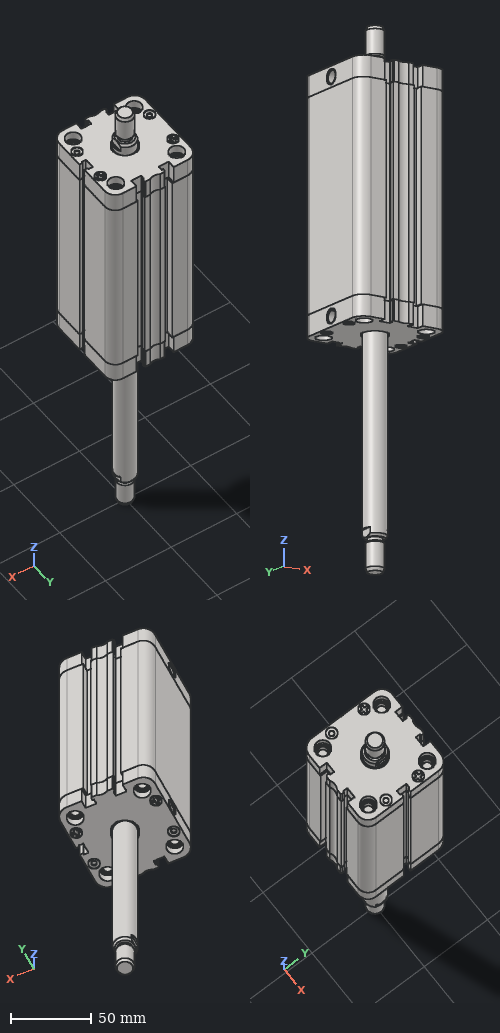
import cadquery as cq

side = 65.5
housing_length = 170.0
cap_height = 14.2
corner_radius = 8.0
half_side = side / 2

slot_inner_edge = 7.8
slot_opening = 5.5
slot_undercut = 1.0
slot_depth = 5.7
slot_lip = 2.5
cap_slot_clearance = 1.0
cap_lip_chamfer = 0.7

groove_width = 7.5
groove_depth = 1.0

bolt_spacing = 46.5
bolt_head_diameter = 10.5
bolt_head_depth = 6.5
bolt_step_diameter = 8.5
bolt_step_depth = 7.8
bolt_hole_diameter = 6.7
set_screw_x = 27.7
set_screw_y = 12.8
set_screw_diameter = 7.5
set_screw_recess = 0.7
cross_length = 5.5
cross_width = 1.8
socket_diameter = 3.5
socket_depth = 1.0
port_mouth_diameter = 10.0
port_mouth_depth = 0.7
port_diameter = 8.5
port_depth = 8.5
port_passage_diameter = 3.5
port_passage_offset = 3.0
port_passage_depth = 3.5
wiper_diameter = 18.0
wiper_depth = 1.0

rod_length = 355.0
rod_below_housing = 154.8
rod_diameter = 16.0
thread_diameter = 12.0
neck_diameter = 10.0
thread_end = 18.8
shoulder = 22.0
flat_end = 27.7
flat_width = 13.0
tip_chamfer_width = 1.0
tip_chamfer_length = 2.5
neck_taper = 1.0
shoulder_chamfer_width = 1.5
shoulder_chamfer_length = 1.8


def box_between(x_range, y_range, z_range):
    """Box spanning the given ranges of X, Y and Z."""
    (x0, x1), (y0, y1), (z0, z1) = x_range, y_range, z_range
    return cq.Workplane("XY").box(x1 - x0, y1 - y0, z1 - z0, centered=False).translate((x0, y0, z0))


def turned(body, angle):
    """Copy of a body turned about the housing axis."""
    return body.rotate((0, 0, 0), (0, 0, 1), angle)


def hooked_slot_cutter(outer_clearance, lip_chamfer):
    """Slot in the +Y face on the +X side, undercut toward the middle of the face."""
    inner_x = slot_inner_edge
    outer_x = slot_inner_edge + slot_opening + outer_clearance
    floor_y = half_side - slot_depth
    lip_y = half_side - slot_lip
    outline = [
        (outer_x, half_side),
        (outer_x, floor_y),
        (inner_x - slot_undercut, floor_y),
        (inner_x - slot_undercut, lip_y),
        (inner_x, lip_y),
        (inner_x, half_side - lip_chamfer),
        (inner_x - lip_chamfer, half_side),
    ]
    if lip_chamfer == 0:
        outline.pop()
    return cq.Workplane("XY").polyline(outline).close().extrude(housing_length)


def t_slot_cutter():
    """T-slot along the middle of the +X face."""
    height_range = (0, housing_length)
    half_opening = slot_opening / 2
    half_pocket = half_opening + slot_undercut
    opening = box_between((half_side - slot_lip, half_side), (-half_opening, half_opening), height_range)
    pocket_range = (half_side - slot_depth, half_side - slot_lip)
    return opening.union(box_between(pocket_range, (-half_pocket, half_pocket), height_range))


def groove_cutter():
    """Round groove along the middle of the +Y face."""
    half_width = groove_width / 2
    radius = (half_width**2 + groove_depth**2) / (2 * groove_depth)
    middle = half_side - groove_depth + radius
    return cq.Workplane("XY").center(0, middle).circle(radius).extrude(housing_length)


def housing_slice(bottom, height, outer_clearance=0.0, lip_chamfer=0.0):
    """Length of the housing profile, with the bore that the rod fills."""
    block = cq.Workplane("XY").workplane(offset=bottom).rect(side, side).extrude(height)
    block = block.edges("|Z").fillet(corner_radius)
    slot = hooked_slot_cutter(outer_clearance, lip_chamfer)
    for face_angle in (0, 180):
        for cutter in (slot, slot.mirror("YZ"), groove_cutter()):
            block = block.cut(turned(cutter, face_angle))
    block = block.cut(t_slot_cutter())
    return block.cut(cq.Workplane("XY").circle(rod_diameter / 2).extrude(housing_length))


def make_barrel():
    return housing_slice(cap_height, housing_length - 2 * cap_height)


def make_top_cap():
    """Upper end cap, with all its holes sunk from the top face or the -X face."""
    cap = housing_slice(housing_length - cap_height, cap_height, cap_slot_clearance, cap_lip_chamfer)
    top = cq.Workplane("XY").workplane(offset=housing_length)

    bolts = top.rect(bolt_spacing, bolt_spacing, forConstruction=True).vertices()
    cap = cap.cut(bolts.circle(bolt_head_diameter / 2).extrude(-bolt_head_depth))
    cap = cap.cut(bolts.circle(bolt_step_diameter / 2).extrude(-bolt_step_depth))
    cap = cap.cut(bolts.circle(bolt_hole_diameter / 2).extrude(-cap_height))

    crosses = top.pushPoints([(-set_screw_x, set_screw_y), (set_screw_x, set_screw_y)])
    rounds = top.pushPoints([(-set_screw_x, -set_screw_y), (set_screw_x, -set_screw_y)])
    socket_bottom = -set_screw_recess - socket_depth
    for places in (crosses, rounds):
        cap = cap.cut(places.circle(set_screw_diameter / 2).extrude(-set_screw_recess))
    cap = cap.cut(crosses.rect(cross_length, cross_width).extrude(socket_bottom))
    cap = cap.cut(crosses.rect(cross_width, cross_length).extrude(socket_bottom))
    cap = cap.cut(rounds.circle(socket_diameter / 2).extrude(socket_bottom))

    cap = cap.cut(top.circle(wiper_diameter / 2).extrude(-wiper_depth))

    port_height = housing_length - cap_height / 2
    port = cq.Workplane("YZ", origin=(-half_side, 0, port_height))
    cap = cap.cut(port.circle(port_mouth_diameter / 2).extrude(port_mouth_depth))
    cap = cap.cut(port.circle(port_diameter / 2).extrude(port_depth))
    passage = port.center(0, -port_passage_offset).circle(port_passage_diameter / 2)
    return cap.cut(passage.extrude(port_depth + port_passage_depth))


def make_rod():
    """Piston rod with a threaded stud and wrench flats on each end."""
    rod_radius = rod_diameter / 2
    thread_radius = thread_diameter / 2
    neck_radius = neck_diameter / 2
    half_length = rod_length / 2
    end_outline = [
        (0, 0),
        (thread_radius - tip_chamfer_width, 0),
        (thread_radius, tip_chamfer_length),
        (thread_radius, thread_end),
        (neck_radius, thread_end + neck_taper),
        (neck_radius, shoulder),
        (rod_radius - shoulder_chamfer_width, shoulder),
        (rod_radius, shoulder + shoulder_chamfer_length),
    ]
    lower = [(r, -half_length + z) for r, z in end_outline]
    upper = [(r, half_length - z) for r, z in reversed(end_outline)]
    rod = cq.Workplane("XZ").polyline(lower + upper).close().revolve(360, (0, 0), (0, 1))

    flat_length = flat_end - shoulder
    flat_depth = (rod_diameter - flat_width) / 2
    for end in (-1, 1):
        for face in (-1, 1):
            x = face * (flat_width + flat_depth) / 2
            z = end * (half_length - shoulder - flat_length / 2)
            rod = rod.cut(cq.Workplane("XY").box(flat_depth, rod_diameter, flat_length).translate((x, 0, z)))
    return rod.translate((0, 0, half_length - rod_below_housing))


barrel = make_barrel()
top_cap = make_top_cap()
bottom_cap = top_cap.mirror("XY", (0, 0, housing_length / 2))
rod = make_rod()

result = cq.Compound.makeCompound([barrel.val(), top_cap.val(), bottom_cap.val(), rod.val()])